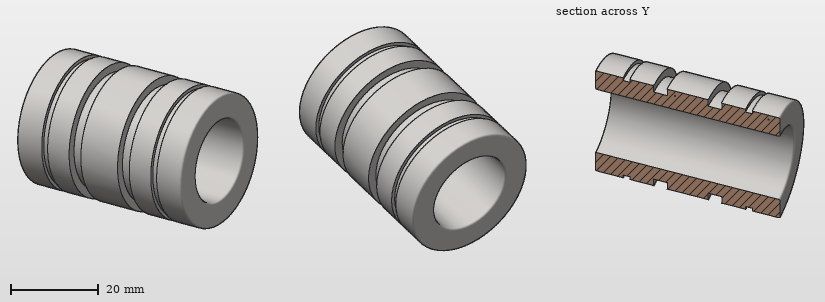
import cadquery as cq

length = 45.0
outer_diameter = 32.0
bore_diameter = 20.0
edge_radius = 0.5

retaining_groove_diameter = 30.3
retaining_groove_width = 1.6
retaining_groove_center = 14.9
wide_groove_diameter = 27.9
wide_groove_width = 3.2
wide_groove_center = 6.6


def make_sleeve():
    """Plain tube with rounded outer and bore edges at both ends."""
    tube = (
        cq.Workplane("YZ", origin=(-length / 2, 0, 0))
        .circle(outer_diameter / 2)
        .circle(bore_diameter / 2)
        .extrude(length)
    )
    return tube.faces("<X or >X").edges().fillet(edge_radius)


def make_groove_ring(center, width, floor_diameter):
    """Ring of material to remove, leaving a groove of the given floor diameter."""
    return (
        cq.Workplane("YZ", origin=(center - width / 2, 0, 0))
        .circle(outer_diameter / 2 + edge_radius)
        .circle(floor_diameter / 2)
        .extrude(width)
    )


result = make_sleeve()
for side in (-1, 1):
    result = result.cut(
        make_groove_ring(side * retaining_groove_center, retaining_groove_width, retaining_groove_diameter)
    )
    result = result.cut(
        make_groove_ring(side * wide_groove_center, wide_groove_width, wide_groove_diameter)
    )